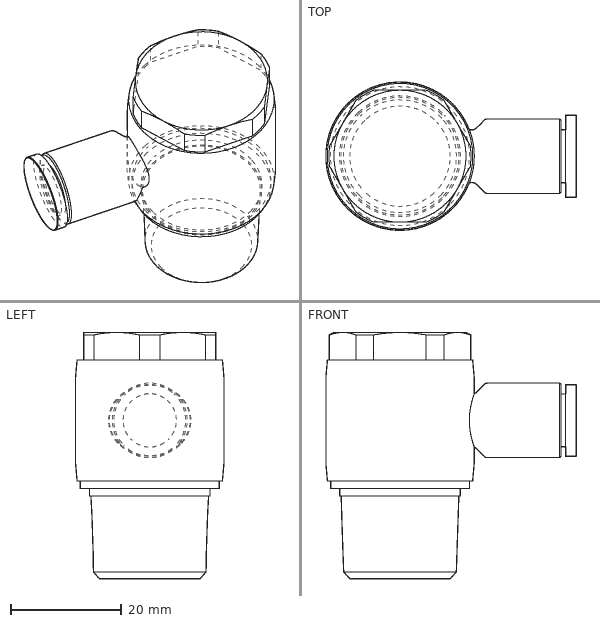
import cadquery as cq
import math

total_height = 44.8
head_height = 4.95
body_top = total_height - head_height
body_taper_height = 3.1
body_bottom = 17.8
ring_bottom = 16.4
collar_bottom = 15.05
thread_chamfer_height = 1.28

body_radius = 13.5
body_end_radius = 13.22
ring_radius = 12.65
collar_radius = 11.0
thread_top_radius = 10.7
thread_bottom_radius = 10.25
thread_tip_radius = 9.1

head_across_flats = 24.0
head_corner_radius = 12.9
head_top_radius = head_across_flats / 2
head_chamfer_height = 0.45

overall_length = 45.6
port_height = (body_top + body_bottom) / 2
port_end = overall_length - body_radius
flange_thickness = 2.0
flange_start = port_end - flange_thickness
flange_half_width = 7.5
flange_half_height = 6.5
flange_edge_chamfer = 0.15
sleeve_radius = 6.8
sleeve_start = 15.85
sleeve_end = 29.28
sleeve_end_chamfer = 0.27
port_neck_radius = 4.85
neck_blend_radius = 1.0
shoulder_blend_radius = 0.78
cone_angle = math.radians(45)


def make_body():
    """Turned body: tapered thread, collar, sealing ring and barrel with tapered ends."""
    profile = [
        (0, 0),
        (thread_tip_radius, 0),
        (thread_bottom_radius, thread_chamfer_height),
        (thread_top_radius, collar_bottom),
        (collar_radius, collar_bottom),
        (collar_radius, ring_bottom),
        (ring_radius, ring_bottom),
        (ring_radius, body_bottom),
        (body_end_radius, body_bottom),
        (body_radius, body_bottom + body_taper_height),
        (body_radius, body_top - body_taper_height),
        (body_end_radius, body_top),
        (0, body_top),
    ]
    return cq.Workplane("XZ").polyline(profile).close().revolve(360, (0, 0), (0, 1))


def make_head():
    """Hexagonal head trimmed by a cylinder with a conical top chamfer."""
    across_corners = head_across_flats / math.cos(math.pi / 6)
    hexagon = cq.Workplane("XY").workplane(offset=body_top).polygon(6, across_corners).extrude(head_height)
    trim_profile = [
        (0, body_top),
        (head_corner_radius, body_top),
        (head_corner_radius, total_height - head_chamfer_height),
        (head_top_radius, total_height),
        (0, total_height),
    ]
    trim = cq.Workplane("XZ").polyline(trim_profile).close().revolve(360, (0, 0), (0, 1))
    return hexagon.intersect(trim)


def make_port():
    """Side port: neck, blended cone, sleeve and a groove up to the flange."""
    blend_run = math.sin(cone_angle)
    blend_rise = 1 - math.cos(cone_angle)
    half_run = math.sin(cone_angle / 2)
    half_rise = 1 - math.cos(cone_angle / 2)

    cone_end = sleeve_start - shoulder_blend_radius * blend_run
    cone_end_radius = sleeve_radius - shoulder_blend_radius * blend_rise
    cone_start_radius = port_neck_radius + neck_blend_radius * blend_rise
    cone_start = cone_end - (cone_end_radius - cone_start_radius) / math.tan(cone_angle)
    neck_end = cone_start - neck_blend_radius * blend_run

    neck_blend_middle = (
        neck_end + neck_blend_radius * half_run,
        port_neck_radius + neck_blend_radius * half_rise,
    )
    shoulder_blend_middle = (
        sleeve_start - shoulder_blend_radius * half_run,
        sleeve_radius - shoulder_blend_radius * half_rise,
    )
    profile = (
        cq.Workplane("XZ", origin=(0, 0, port_height))
        .lineTo(0, port_neck_radius)
        .lineTo(neck_end, port_neck_radius)
        .threePointArc(neck_blend_middle, (cone_start, cone_start_radius))
        .lineTo(cone_end, cone_end_radius)
        .threePointArc(shoulder_blend_middle, (sleeve_start, sleeve_radius))
        .lineTo(sleeve_end - sleeve_end_chamfer, sleeve_radius)
        .lineTo(sleeve_end, sleeve_radius - sleeve_end_chamfer)
        .lineTo(sleeve_end, port_neck_radius)
        .lineTo(flange_start, port_neck_radius)
        .lineTo(flange_start, 0)
        .close()
    )
    return profile.revolve(360, (0, 0), (1, 0))


def make_flange():
    """Oval release flange at the end of the port, wider along Y, with a chamfered outer edge."""
    flange_plane = cq.Workplane("YZ", origin=(flange_start, 0, port_height))
    flange = flange_plane.ellipse(flange_half_width, flange_half_height).extrude(flange_thickness)
    return flange.faces(">X").chamfer(flange_edge_chamfer)


result = make_body().union(make_head()).union(make_port()).union(make_flange())